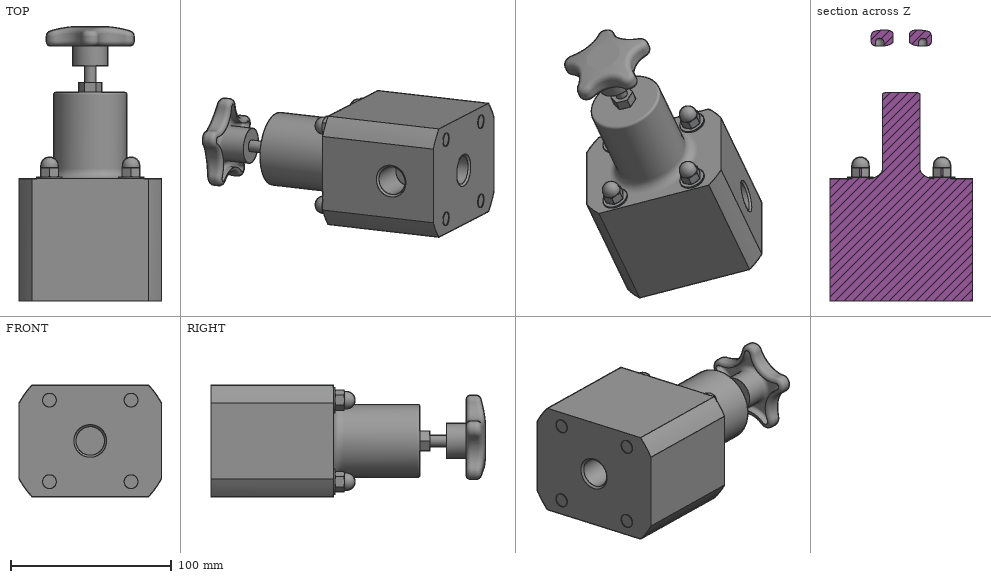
import cadquery as cq
import math


BLOCK_WIDTH = 89.0
BLOCK_HEIGHT = 69.8
BLOCK_LENGTH = 76.5
BLOCK_TURNED_DIAMETER = 100.8

PORT_DIAMETER = 17.8
PORT_MOUTH_DIAMETER = 20.4
PORT_DEPTH = 25.7
SIDE_PORT_Y = 29.1

BOLT_PITCH = 51.0
BOLT_RECESS_DIAMETER = 8.5
BOLT_RECESS_DEPTH = 0.5
WASHER_DIAMETER = 16.0
WASHER_THICKNESS = 1.0
CAP_NUT_FLATS = 11.0
CAP_NUT_HEX_HEIGHT = 5.8
CAP_NUT_COLLAR_HEIGHT = 1.2
CAP_NUT_BEVEL_HEIGHT = 0.3

HOUSING_DIAMETER = 45.8
HOUSING_END_Y = 130.5
HOUSING_EDGE_RADIUS = 1.5
HOUSING_FLARE_RADIUS = 6.0

STEM_DIAMETER = 7.4
LOCK_NUT_CORNERS = 14.4
LOCK_NUT_HEIGHT = 6.2

HUB_DIAMETER = 22.1
HUB_START_Y = 147.0
WHEEL_START_Y = 159.3
WHEEL_END_Y = 171.5
LOBE_COUNT = 5
LOBE_CENTER_RADIUS = 23.3
LOBE_TIP_RADIUS = 5.3
VALLEY_RADIUS = 14.4
DOME_DROP = 4.1
DOME_RADIUS = 85.7
DOME_OVERHANG = 1.7
WHEEL_TOP_FILLET = 3.5
WHEEL_BOTTOM_FILLET = 3.0
RIM_WALL = 3.1
POCKET_DEPTH = 4.8
POCKET_FILLET = 1.9
HUB_FILLET = 2.5


def plane_at(y, x=0.0, z=0.0):
    """Workplane at height y with its normal along +Y; its local y runs along -Z."""
    return cq.Workplane(cq.Plane(origin=(x, y, z), xDir=(1, 0, 0), normal=(0, 1, 0)))


def cylinder(diameter, start_y, end_y, x=0.0, z=0.0):
    return plane_at(start_y, x, z).circle(diameter / 2).extrude(end_y - start_y)


def hexagon(corners, start_y, height, x=0.0, z=0.0, turn=0.0):
    base = plane_at(start_y, x, z).transformed(rotate=(0, 0, turn))
    return base.polygon(6, corners).extrude(height)


def port_cutter():
    """Blind bore with a 45 degree countersink, running along +Y from the origin."""
    countersink = (PORT_MOUTH_DIAMETER - PORT_DIAMETER) / 2
    profile = [
        (0, 0),
        (PORT_MOUTH_DIAMETER / 2, 0),
        (PORT_DIAMETER / 2, countersink),
        (PORT_DIAMETER / 2, PORT_DEPTH),
        (0, PORT_DEPTH),
    ]
    return cq.Workplane("XY").polyline(profile).close().revolve(360, (0, 0), (0, 1))


def bolt_positions():
    half = BOLT_PITCH / 2
    return [(x, z) for x in (-half, half) for z in (-half, half)]


def make_block():
    block = plane_at(0).rect(BLOCK_WIDTH, BLOCK_HEIGHT).extrude(BLOCK_LENGTH)
    block = block.intersect(cylinder(BLOCK_TURNED_DIAMETER, 0, BLOCK_LENGTH))
    side_port = port_cutter().rotate((0, 0, 0), (0, 0, 1), -90)
    side_port = side_port.translate((-BLOCK_WIDTH / 2, SIDE_PORT_Y, 0))
    block = block.cut(port_cutter()).cut(side_port)
    for x, z in bolt_positions():
        block = block.cut(cylinder(BOLT_RECESS_DIAMETER, 0, BOLT_RECESS_DEPTH, x, z))
    return block


def make_housing():
    """Turned housing with a rounded free end and a concave flare onto the block."""
    radius = HOUSING_DIAMETER / 2
    flare_radius = radius + HOUSING_FLARE_RADIUS
    flare_end_y = BLOCK_LENGTH + HOUSING_FLARE_RADIUS
    return (
        cq.Workplane("XY")
        .moveTo(0, BLOCK_LENGTH)
        .lineTo(flare_radius, BLOCK_LENGTH)
        .radiusArc((radius, flare_end_y), HOUSING_FLARE_RADIUS)
        .lineTo(radius, HOUSING_END_Y - HOUSING_EDGE_RADIUS)
        .radiusArc((radius - HOUSING_EDGE_RADIUS, HOUSING_END_Y), -HOUSING_EDGE_RADIUS)
        .lineTo(0, HOUSING_END_Y)
        .close()
        .revolve(360, (0, 0), (0, 1))
    )


def make_cap_nut(x, z):
    """Washer, bevelled hexagon with corners along Z, short collar and spherical cap."""
    hex_start = BLOCK_LENGTH + WASHER_THICKNESS
    hex_end = hex_start + CAP_NUT_HEX_HEIGHT
    cap_start = hex_end + CAP_NUT_COLLAR_HEIGHT
    corners = CAP_NUT_FLATS / math.cos(math.pi / 6)
    bevel_width = (corners - CAP_NUT_FLATS) / 2

    washer = cylinder(WASHER_DIAMETER, BLOCK_LENGTH, hex_start, x, z)
    bevel = cylinder(corners, hex_start, hex_end, x, z)
    bevel = bevel.faces(">Y or <Y").chamfer(CAP_NUT_BEVEL_HEIGHT, bevel_width)
    hex_body = hexagon(corners, hex_start, CAP_NUT_HEX_HEIGHT, x, z, turn=30).intersect(bevel)
    collar = cylinder(CAP_NUT_FLATS, hex_start, cap_start, x, z)
    cap = plane_at(cap_start, x, z).sphere(CAP_NUT_FLATS / 2)
    return washer.union(hex_body).union(collar).union(cap)


def polar(radius, angle):
    return (radius * math.cos(angle), radius * math.sin(angle))


def star_outline(workplane):
    """Lobed outline of tangent convex tip arcs and concave valley arcs, one lobe on +Z."""
    half_step = math.pi / LOBE_COUNT
    along = LOBE_CENTER_RADIUS * math.cos(half_step)
    across = LOBE_CENTER_RADIUS * math.sin(half_step)
    reach = LOBE_TIP_RADIUS + VALLEY_RADIUS
    valley_center = along + math.sqrt(reach**2 - across**2)
    tip_share = LOBE_TIP_RADIUS / reach

    def tangent_point(lobe_angle, valley_angle):
        lobe_x, lobe_y = polar(LOBE_CENTER_RADIUS, lobe_angle)
        valley_x, valley_y = polar(valley_center, valley_angle)
        return (lobe_x + tip_share * (valley_x - lobe_x), lobe_y + tip_share * (valley_y - lobe_y))

    first_lobe = -math.pi / 2
    outline = workplane.moveTo(*tangent_point(first_lobe, first_lobe - half_step))
    for index in range(LOBE_COUNT):
        lobe = first_lobe + 2 * half_step * index
        valley = lobe + half_step
        next_lobe = valley + half_step
        tip = polar(LOBE_CENTER_RADIUS + LOBE_TIP_RADIUS, lobe)
        valley_floor = polar(valley_center - VALLEY_RADIUS, valley)
        outline = outline.threePointArc(tip, tangent_point(lobe, valley))
        outline = outline.threePointArc(valley_floor, tangent_point(next_lobe, valley))
    return outline.close()


def make_wheel():
    """Domed star rim, hollow underneath, around a cylindrical hub with a filleted root."""
    hub_radius = HUB_DIAMETER / 2
    dome_edge_radius = LOBE_CENTER_RADIUS + LOBE_TIP_RADIUS + DOME_OVERHANG
    dome = (
        cq.Workplane("XY")
        .moveTo(0, WHEEL_START_Y)
        .lineTo(dome_edge_radius, WHEEL_START_Y)
        .lineTo(dome_edge_radius, WHEEL_END_Y - DOME_DROP)
        .radiusArc((hub_radius, WHEEL_END_Y), -DOME_RADIUS)
        .lineTo(0, WHEEL_END_Y)
        .close()
        .revolve(360, (0, 0), (0, 1))
    )
    thickness = WHEEL_END_Y - WHEEL_START_Y
    star = star_outline(plane_at(WHEEL_START_Y)).extrude(thickness).intersect(dome)
    star = star.edges("%BSPLINE").fillet(WHEEL_TOP_FILLET)
    star = star.faces("<Y").edges().fillet(WHEEL_BOTTOM_FILLET)

    pocket = star_outline(plane_at(WHEEL_START_Y)).offset2D(-RIM_WALL).extrude(POCKET_DEPTH)
    pocket = pocket.faces(">Y").edges().fillet(POCKET_FILLET)
    hub = cylinder(HUB_DIAMETER, HUB_START_Y, WHEEL_END_Y - DOME_DROP)
    wheel = star.cut(pocket).union(hub)
    hub_root_center = (0, WHEEL_START_Y + POCKET_DEPTH, 0)
    hub_root = wheel.edges(cq.selectors.NearestToPointSelector(hub_root_center))
    return hub_root.fillet(HUB_FILLET)


result = make_block().union(make_housing())
for bolt_x, bolt_z in bolt_positions():
    result = result.union(make_cap_nut(bolt_x, bolt_z))
result = result.union(hexagon(LOCK_NUT_CORNERS, HOUSING_END_Y, LOCK_NUT_HEIGHT))
result = result.union(cylinder(STEM_DIAMETER, HOUSING_END_Y, HUB_START_Y))
result = result.union(make_wheel())